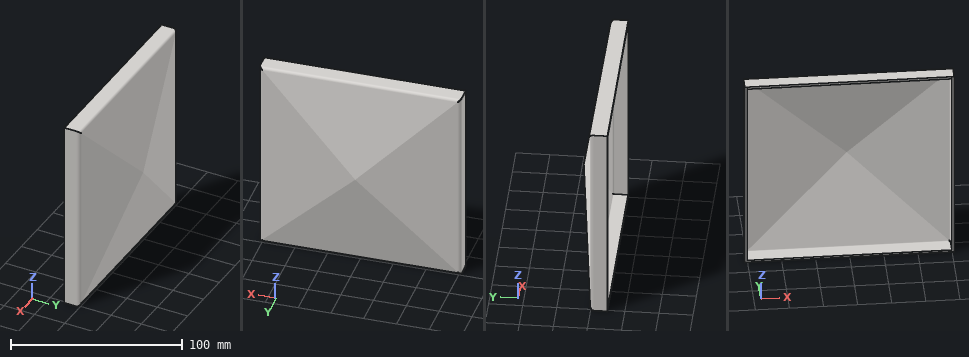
import cadquery as cq
import math

width = 123.0
height = 20.0
eave_height = 10.1
eave_radius = 2.5
wall = 1.5

half_width = width / 2
roof_angle = math.atan2(height - eave_height, half_width)
skirt_height = eave_height - eave_radius * math.tan((math.pi / 2 - roof_angle) / 2)


def gable_prism(plane, inset):
    """Prism with a gable section, offset inward by inset; the rounded eaves stay concentric."""
    half = half_width - inset
    radius = eave_radius - inset
    arc_center_x = half_width - eave_radius
    ridge = height - inset / math.cos(roof_angle)

    def eave_point(angle):
        return (arc_center_x + radius * math.cos(angle), skirt_height + radius * math.sin(angle))

    def mirrored(point):
        return (-point[0], point[1])

    roof_normal = math.pi / 2 - roof_angle
    eave_end = eave_point(roof_normal)
    eave_middle = eave_point(roof_normal / 2)
    return (
        cq.Workplane(plane)
        .moveTo(-half, 0)
        .lineTo(half, 0)
        .lineTo(half, skirt_height)
        .threePointArc(eave_middle, eave_end)
        .lineTo(0, ridge)
        .lineTo(*mirrored(eave_end))
        .threePointArc(mirrored(eave_middle), (-half, skirt_height))
        .close()
        .extrude(half, both=True)
    )


def mitred_cap(inset):
    """Two crossed gable prisms share a four-sided roof with mitred eave corners."""
    along_z = gable_prism(cq.Plane(origin=(0, 0, 0), xDir=(1, 0, 0), normal=(0, 0, 1)), inset)
    along_x = gable_prism(cq.Plane(origin=(0, 0, 0), xDir=(0, 0, -1), normal=(1, 0, 0)), inset)
    return along_z.intersect(along_x)


result = mitred_cap(0).cut(mitred_cap(wall))